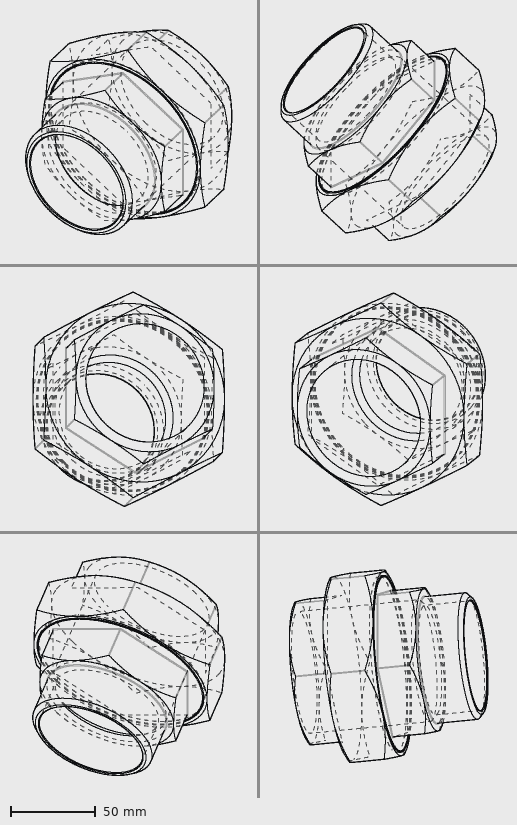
import cadquery as cq
import math

total_length = 103.5
nut_corners = 125.8
body_flats = 84.3
corner_cone_angle = math.radians(30)
edge_radius = 0.5

cos_30 = math.cos(math.pi / 6)
nut_sharp_corners = nut_corners + 2 * edge_radius * (1 / cos_30 - 1)
nut_flats = nut_sharp_corners * cos_30
body_sharp_corners = body_flats / cos_30

male_body_start = 27.2
nut_start = 50.4
nut_end = 80.5

spigot_diameter = 75.2
spigot_chamfer = 2.8

bore_diameter = 65.0
bore_edge_chamfer = 0.5
socket_diameter = 72.2
socket_cone_start = 27.5
socket_cone_length = (socket_diameter - bore_diameter) / 2

nut_bore_diameter = 105.0
nut_bore_depth = 2.5
flange_diameter = 104.4
flange_chamfer = 0.5


def cylinder(diameter, start, end):
    """Solid cylinder along Y between two stations."""
    return cq.Workplane("XZ", origin=(0, start, 0)).circle(diameter / 2).extrude(start - end)


def revolved(profile):
    """Solid of revolution about Y from (radius, station) points."""
    return cq.Workplane("XY").polyline(profile).close().revolve(360, (0, 0, 0), (0, 1, 0))


def hexagon(flats, start, end):
    """Hexagonal prism along Y with a corner on top and rounded long edges."""
    prism = (
        cq.Workplane("XZ", origin=(0, start, 0))
        .transformed(rotate=(0, 0, 90))
        .polygon(6, flats / cos_30)
        .extrude(start - end)
    )
    return prism.edges("|Y").fillet(edge_radius)


def corner_cone(flats, face, outward):
    """Cone that turns off the corners at a hexagon end facing `outward`, -1 or 1 along Y."""
    face_radius = flats / 2
    base_radius = face_radius + total_length / math.tan(corner_cone_angle)
    base = face - outward * total_length
    return revolved([(0, face), (face_radius, face), (base_radius, base), (0, base)])


def foot_fillet(body, diameter, station):
    """Fillet the inner corner where a feature narrower than `diameter` meets the face at `station`."""
    reach = diameter / 2
    foot = cq.selectors.BoxSelector(
        (-reach, station - edge_radius / 2, -reach),
        (reach, station + edge_radius / 2, reach),
        boundingbox=True,
    )
    return body.edges(foot).fillet(edge_radius)


def make_male_body():
    """Spigot, hexagonal grip and the flange held by the nut."""
    spigot = cylinder(spigot_diameter, 0, male_body_start).faces("<Y").chamfer(spigot_chamfer)
    grip = hexagon(body_flats, male_body_start, nut_start).intersect(
        corner_cone(body_flats, male_body_start, -1)
    )
    flange = cylinder(flange_diameter, nut_start, nut_start + nut_bore_depth)
    flange = flange.faces("<Y").chamfer(flange_chamfer)
    body = spigot.union(grip).union(flange)
    body = foot_fillet(body, spigot_diameter + 2 * edge_radius, male_body_start)
    return foot_fillet(body, body_sharp_corners + 2 * edge_radius, nut_start)


def make_nut_and_female_body():
    """Union nut with its counterbore, joined to the hexagonal female end."""
    nut = hexagon(nut_flats, nut_start, nut_end)
    nut = nut.intersect(corner_cone(nut_flats, nut_start, -1))
    nut = nut.intersect(corner_cone(nut_flats, nut_end, 1))
    grip = hexagon(body_flats, nut_end, total_length)
    grip = grip.intersect(corner_cone(body_flats, total_length, 1))
    body = foot_fillet(nut.union(grip), body_sharp_corners + 2 * edge_radius, nut_end)
    return body.cut(cylinder(nut_bore_diameter, nut_start, nut_start + nut_bore_depth))


def make_passage():
    """Through bore that widens by a 45 degree cone into the female socket."""
    bore_radius = bore_diameter / 2
    socket_radius = socket_diameter / 2
    return revolved(
        [
            (0, 0),
            (bore_radius + bore_edge_chamfer, 0),
            (bore_radius, bore_edge_chamfer),
            (bore_radius, socket_cone_start),
            (socket_radius, socket_cone_start + socket_cone_length),
            (socket_radius, total_length),
            (0, total_length),
        ]
    )


result = make_nut_and_female_body().union(make_male_body()).cut(make_passage())